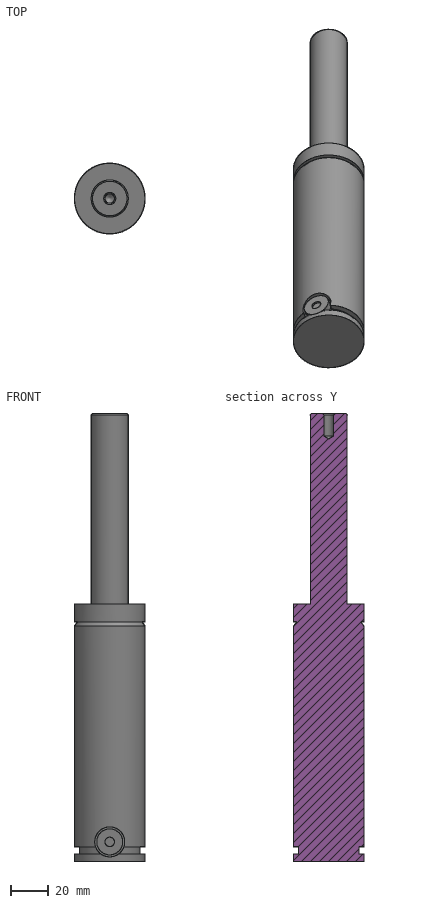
import cadquery as cq
import math

total_height = 240.0
body_diameter = 38.0
body_radius = body_diameter / 2
body_height = 138.0
rod_diameter = 20.0
rod_chamfer = 0.7

head_height = 9.5
notch_height = 2.2
notch_depth = 1.7

groove_bottom = 4.0
groove_width = 3.8
groove_depth = 2.6

rod_hole_diameter = 5.0
rod_hole_depth = 12.0
rod_hole_mouth = 6.5
drill_tip_angle = 118.0

port_height = 10.5
port_diameter = 16.0
port_floor = 14.5
plug_diameter = 14.0
plug_face = 18.0
plug_hole_diameter = 5.0
plug_hole_depth = 1.0
plug_joint = 2.5


def make_body():
    """Turned cylinder, notch, groove and piston rod in one revolved profile."""
    notch_top = body_height - head_height
    groove_radius = body_radius - groove_depth
    groove_top = groove_bottom + groove_width
    rod_radius = rod_diameter / 2
    profile = [
        (0, 0),
        (body_radius, 0),
        (body_radius, groove_bottom),
        (groove_radius, groove_bottom),
        (groove_radius, groove_top),
        (body_radius, groove_top),
        (body_radius, notch_top - notch_height),
        (body_radius - notch_depth, notch_top),
        (body_radius, notch_top),
        (body_radius, body_height),
        (rod_radius, body_height),
        (rod_radius, total_height - rod_chamfer),
        (rod_radius - rod_chamfer, total_height),
        (0, total_height),
    ]
    return cq.Workplane("XZ").polyline(profile).close().revolve(360, (0, 0), (0, 1))


def cut_rod_hole(part):
    """Blind hole with a countersunk mouth and a conical drill tip."""
    mouth_depth = (rod_hole_mouth - rod_hole_diameter) / 2
    hole_radius = rod_hole_diameter / 2
    tip_depth = hole_radius / math.tan(math.radians(drill_tip_angle / 2))
    profile = [
        (0, total_height),
        (rod_hole_mouth / 2, total_height),
        (hole_radius, total_height - mouth_depth),
        (hole_radius, total_height - rod_hole_depth),
        (0, total_height - rod_hole_depth - tip_depth),
    ]
    hole = cq.Workplane("XZ").polyline(profile).close().revolve(360, (0, 0), (0, 1))
    return part.cut(hole)


def port_cylinder(diameter, inner, outer):
    """Cylinder along -Y on the port axis between two distances from the body axis."""
    plane = cq.Workplane("XZ", origin=(0, -inner, port_height))
    return plane.circle(diameter / 2).extrude(outer - inner)


def add_port(part):
    pocket = port_cylinder(port_diameter, port_floor, body_radius)
    plug = port_cylinder(plug_diameter, port_floor - plug_joint, plug_face)
    plug_hole = port_cylinder(plug_hole_diameter, plug_face - plug_hole_depth, plug_face)
    return part.cut(pocket).union(plug).cut(plug_hole)


result = add_port(cut_rod_hole(make_body()))